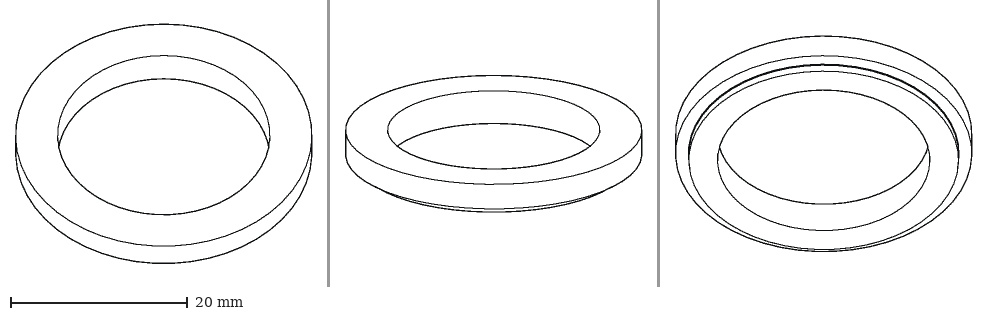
import cadquery as cq
import math


outer_diameter = 33.5
step_diameter = 30.5
bore_diameter = 24.0
total_height = 4.0
flange_height = 2.98

flare_height = 0.1
flare_angle = 30.0

outer_radius = outer_diameter / 2
step_radius = step_diameter / 2
bore_radius = bore_diameter / 2
step_height = total_height - flange_height
flare_radius = step_radius + flare_height * math.tan(math.radians(flare_angle))

section = [
    (bore_radius, 0),
    (step_radius, 0),
    (step_radius, step_height - flare_height),
    (flare_radius, step_height),
    (outer_radius, step_height),
    (outer_radius, total_height),
    (bore_radius, total_height),
]
axis_start = (0, 0, 0)
axis_end = (0, 1, 0)

result = cq.Workplane("XZ").polyline(section).close().revolve(360, axis_start, axis_end)